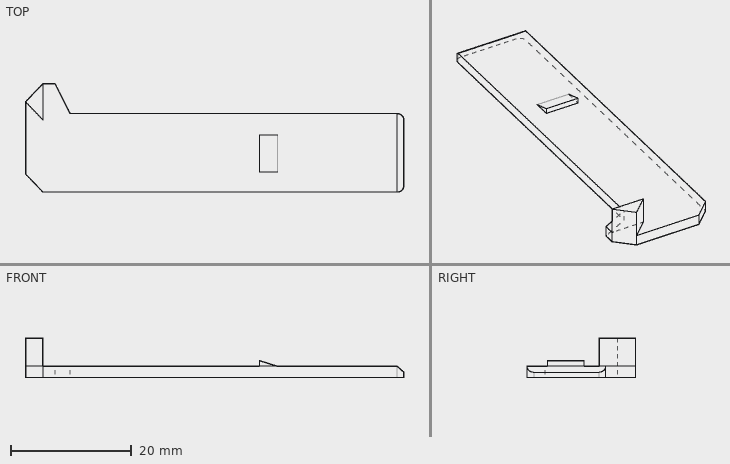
import cadquery as cq

length = 62.8
body_width = 13.05
thickness = 1.9

corner_x = 2.9
corner_y = 3.0

total_width = 18.0
arm_tip_x = 4.9
arm_root_x = 7.4

total_height = 6.5

catch_x = 38.8
catch_y = 3.4
catch_length = 3.0
catch_width = 6.1
catch_height = 0.95

end_length = 1.1
end_drop = 1.0


def make_plate():
    """Flat plate with its side arm, cut corners and rounded free end."""
    plate = (
        cq.Workplane("XY")
        .polyline([
            (corner_x, 0),
            (length, 0),
            (length, body_width),
            (arm_root_x, body_width),
            (arm_tip_x, total_width),
            (corner_x, total_width),
            (0, total_width - corner_y),
            (0, corner_y),
        ])
        .close()
        .extrude(thickness)
    )
    return plate.edges("|Z and >X").fillet(end_length)


def make_end_bevel():
    """Triangular prism that bevels the top of the free end."""
    return (
        cq.Workplane("XZ")
        .polyline([
            (length - end_length, thickness),
            (length, thickness),
            (length, thickness - end_drop),
        ])
        .close()
        .extrude(-body_width)
    )


def make_post():
    """Upright triangular post flush with the cut corner of the arm."""
    return (
        cq.Workplane("XY")
        .polyline([
            (0, total_width - corner_y),
            (corner_x, total_width),
            (corner_x, total_width - 2 * corner_y),
        ])
        .close()
        .extrude(total_height)
    )


def make_catch():
    """Wedge with a steep face toward the post and a slope toward the free end."""
    return (
        cq.Workplane("XZ", origin=(catch_x, catch_y, 0))
        .polyline([
            (0, 0),
            (0, thickness + catch_height),
            (catch_length, thickness),
            (catch_length, 0),
        ])
        .close()
        .extrude(-catch_width)
    )


result = make_plate().cut(make_end_bevel()).union(make_post()).union(make_catch())